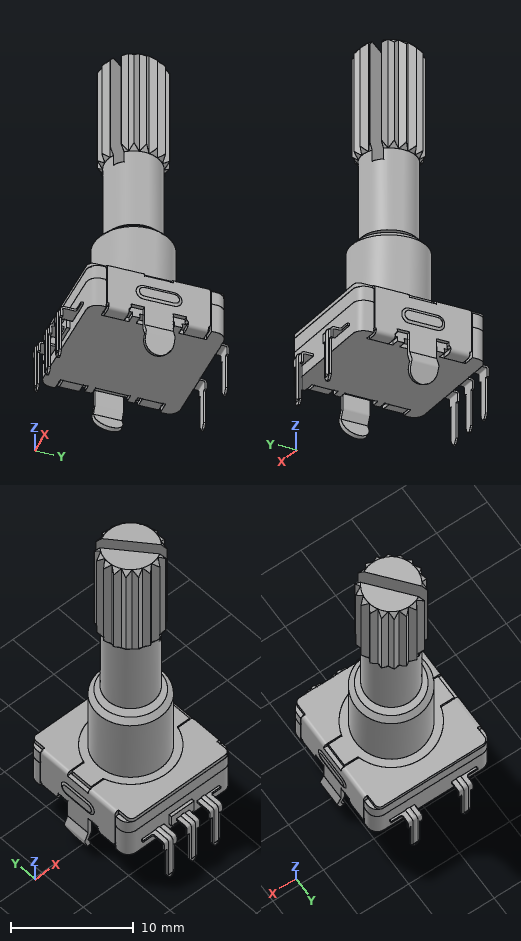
import cadquery as cq
import math

case_width = 11.68
case_depth = 12.0
case_height = 4.5
case_corner_radius = 1.0
base_height = 2.8

sheet = 0.4
cover_corner_radius = 0.5
flange_half_width = 4.5
flange_clearance = 0.1
disc_diameter = 8.5
slot_half_width = 1.25
arm_half_width = 1.15

clinch_inner = 2.57
clinch_outer = 4.35
clinch_length = 0.8
notch_outer = 2.4
notch_top = 0.9
notch_chamfer_top = 0.6
flange_chamfer = flange_half_width - clinch_outer
seat_inner = 2.18
leg_recess_half_width = 1.52

emboss_length = 4.0
emboss_height = 1.4
emboss_inset = 0.248
emboss_rise = 0.1
emboss_z = 2.38

leg_angle = 25.0
knee_half_span = 6.2
knee_z = -1.78
leg_bottom = -3.43

bushing_diameter = 7.0
bushing_height = 7.0
shaft_top = 29.5
shaft_diameter = 5.0
neck_diameter = 3.0
neck_gap = 0.5
knurl_diameter = 6.0
knurl_length = 10.0
ridge_count = 18
end_chamfer = 0.5
slot_width = 1.0
slot_depth = 11.0
slot_direction = -50.0

pin_pitch = 2.5
front_reach = 7.7
back_reach = 7.23
pin_bottom = -3.5
pin_sheet = 0.2
pin_top = 1.2
pin_bend_radius = 0.1
pin_wide = 1.4
pin_narrow = 0.85
pin_shoulder_z = 0.2
pin_tip_width = 0.3
pin_tip_height = 0.45
bead_half_width = 0.23
bead_rise = 0.1
bead_end_z = -3.15
bead_end_slope = 0.15
strip_end = 4.3
strip_projection = 0.2
strip_fillet = 0.15

pad_half_width = 1.25
pad_bottom = 0.7
pad_top = 1.88
pad_rise = 0.3

half_width = case_width / 2
half_depth = case_depth / 2
inner_half_width = half_width - sheet
ledge_z = case_height - sheet
pocket_half_width = flange_half_width + flange_clearance
bushing_top = case_height + bushing_height
overshoot = 1.65


def box(x_range, y_range, z_range):
    """Axis-aligned block between the given limits."""
    (x0, x1), (y0, y1), (z0, z1) = x_range, y_range, z_range
    return cq.Workplane("XY").box(x1 - x0, y1 - y0, z1 - z0, centered=False).translate((x0, y0, z0))


def on_both_x_sides(shape):
    return shape.union(shape.mirror("YZ"))


def on_both_y_sides(shape):
    return shape.union(shape.mirror("XZ"))


def case_block(z0, z1):
    """Rounded slab of the case with flat pockets for the cover flanges."""
    slab = (
        cq.Workplane("XY").workplane(offset=z0).rect(case_width, case_depth).extrude(z1 - z0)
        .edges("|Z").fillet(case_corner_radius)
    )
    pocket = box(
        (-half_width - overshoot, -inner_half_width),
        (-pocket_half_width, pocket_half_width),
        (z0, z1),
    )
    return slab.cut(on_both_x_sides(pocket))


def disc_and_arms(arm_half):
    """Raised centre of the housing: a disc with an arm to each flange."""
    disc = cq.Workplane("XY").workplane(offset=ledge_z).circle(disc_diameter / 2).extrude(sheet)
    arms = box((-inner_half_width, inner_half_width), (-arm_half, arm_half), (ledge_z, case_height))
    return disc.union(arms)


def make_shaft():
    knurl_bottom = shaft_top - knurl_length
    ridge_angle = 2 * math.pi / ridge_count
    outline = []
    for i in range(ridge_count):
        for radius, turn in ((knurl_diameter / 2, i), (shaft_diameter / 2, i + 0.5)):
            outline.append((radius * math.cos(turn * ridge_angle), radius * math.sin(turn * ridge_angle)))
    knurl = cq.Workplane("XY").workplane(offset=knurl_bottom).polyline(outline).close().extrude(knurl_length)
    envelope = (
        cq.Workplane("XY").workplane(offset=knurl_bottom).circle(knurl_diameter / 2).extrude(knurl_length)
        .faces("<Z or >Z").chamfer(end_chamfer)
    )
    stem_bottom = bushing_top + neck_gap
    stem = (
        cq.Workplane("XY").workplane(offset=stem_bottom).circle(shaft_diameter / 2)
        .extrude(knurl_bottom - stem_bottom)
    )
    neck = (
        cq.Workplane("XY").workplane(offset=base_height).circle(neck_diameter / 2)
        .extrude(stem_bottom - base_height)
    )
    slot_length = knurl_diameter + overshoot
    slot = (
        box(
            (-slot_length / 2, slot_length / 2),
            (-slot_width / 2, slot_width / 2),
            (shaft_top - slot_depth, shaft_top + overshoot),
        )
        .rotate((0, 0, 0), (0, 0, 1), slot_direction)
    )
    return knurl.intersect(envelope).union(stem).union(neck).cut(slot)


def make_housing():
    bushing = (
        cq.Workplane("XY").workplane(offset=ledge_z).circle(bushing_diameter / 2)
        .extrude(bushing_top - ledge_z).faces(">Z").chamfer(end_chamfer)
    )
    bore = (
        cq.Workplane("XY").workplane(offset=base_height).circle(neck_diameter / 2)
        .extrude(bushing_top - base_height)
    )
    upper_case = case_block(base_height, ledge_z)
    return upper_case.union(disc_and_arms(arm_half_width)).union(bushing).cut(bore)


def make_base():
    pad = box(
        (-pad_half_width, pad_half_width), (-half_depth - pad_rise, -half_depth), (pad_bottom, pad_top)
    )
    recess_x = (-inner_half_width, -inner_half_width + clinch_length)
    clinch_seat = on_both_y_sides(box(recess_x, (seat_inner, pocket_half_width), (0, sheet)))
    leg_recess = box(recess_x, (-leg_recess_half_width, leg_recess_half_width), (0, sheet))
    recesses = on_both_x_sides(clinch_seat.union(leg_recess))
    return case_block(0, base_height).union(pad).cut(recesses)


def make_cover_plate():
    plate = (
        cq.Workplane("XY").workplane(offset=ledge_z).rect(2 * inner_half_width, case_depth).extrude(sheet)
        .edges("|Z").fillet(cover_corner_radius)
    )
    return plate.cut(disc_and_arms(slot_half_width))


def make_flange_bend(z, y_range):
    """Quarter-round edge of the sheet, running along Y about the flange's inner corner."""
    y0, y1 = y_range
    rod = cq.Workplane("XZ", origin=(-inner_half_width, y0, z)).circle(sheet).extrude(y0 - y1)
    upper = z > case_height / 2
    z_range = (z, z + sheet) if upper else (z - sheet, z)
    return rod.intersect(box((-half_width, -inner_half_width), y_range, z_range))


def make_flange():
    half_outline = [
        (0, ledge_z),
        (flange_half_width, ledge_z),
        (flange_half_width, sheet + flange_chamfer),
        (clinch_outer, sheet),
        (clinch_inner, sheet),
        (notch_outer, notch_chamfer_top),
        (notch_outer, notch_top),
        (0, notch_top),
    ]
    half = cq.Workplane("YZ", origin=(-half_width, 0, 0)).polyline(half_outline).close().extrude(sheet)
    taper = math.degrees(math.atan2(emboss_inset, emboss_rise))
    emboss = (
        cq.Workplane("YZ", origin=(-half_width, 0, emboss_z)).slot2D(emboss_length, emboss_height)
        .extrude(-emboss_rise, taper=taper)
    )
    return on_both_y_sides(half).union(emboss)


def make_clinch_tab():
    tab = box(
        (-inner_half_width, -inner_half_width + clinch_length), (clinch_inner, clinch_outer), (0, sheet)
    )
    return tab.union(make_flange_bend(sheet, (clinch_inner, clinch_outer)))


def make_leg():
    """Leg that runs down, out to a knee and back in to a rounded tip."""
    angle = math.radians(leg_angle)
    along, across = math.sin(angle), math.cos(angle)
    knee_x = sheet - knee_half_span
    knee_out = (knee_x - sheet * across, knee_z + sheet * along)
    run_out = (-half_width - knee_out[0]) / along
    bend_z = knee_out[1] + run_out * across
    hip_in = (-half_width + sheet * across, bend_z - sheet * along)
    hip_mid = (-half_width + sheet * math.cos(angle / 2), bend_z - sheet * math.sin(angle / 2))
    knee_low = (knee_x - sheet * across, knee_z - sheet * along)
    upper = (
        cq.Workplane("XZ")
        .moveTo(-half_width, notch_top)
        .lineTo(-inner_half_width, notch_top)
        .lineTo(-inner_half_width, bend_z)
        .threePointArc(hip_mid, hip_in)
        .lineTo(knee_x, knee_z)
        .lineTo(*knee_low)
        .threePointArc((-knee_half_span, knee_z), knee_out)
        .lineTo(-half_width, bend_z)
        .close()
        .extrude(slot_half_width, both=True)
    )
    tip_length = (knee_low[1] - leg_bottom) / across
    slope = cq.Plane(origin=(knee_x, 0, knee_z), xDir=(along, 0, -across), normal=(-across, 0, -along))
    straight = tip_length - slot_half_width
    lower = (
        cq.Workplane(slope)
        .moveTo(0, -slot_half_width)
        .lineTo(straight, -slot_half_width)
        .threePointArc((tip_length, 0), (straight, slot_half_width))
        .lineTo(0, slot_half_width)
        .close()
        .extrude(sheet)
    )
    return upper.union(lower)


def make_cover():
    top_bend = make_flange_bend(ledge_z, (slot_half_width, flange_half_width))
    side = make_flange().union(on_both_y_sides(top_bend.union(make_clinch_tab()))).union(make_leg())
    return make_cover_plate().union(on_both_x_sides(side))


def make_terminal(x, reach, root, strip_side):
    """Pin toward -Y from y = -root; strip_side is -1 or +1 for a side strip, 0 for none."""
    face = reach - bead_rise
    outer_radius = pin_bend_radius + pin_sheet
    bend_y = -face + outer_radius
    bend_z = pin_top - outer_radius
    diagonal = math.sqrt(0.5)

    def bend_point(radius):
        return (bend_y - radius * diagonal, bend_z + radius * diagonal)

    strip = (
        cq.Workplane("YZ")
        .moveTo(-root, pin_top)
        .lineTo(bend_y, pin_top)
        .threePointArc(bend_point(outer_radius), (-face, bend_z))
        .lineTo(-face, pin_bottom)
        .lineTo(-face + pin_sheet, pin_bottom)
        .lineTo(-face + pin_sheet, bend_z)
        .threePointArc(bend_point(pin_bend_radius), (bend_y, bend_z + pin_bend_radius))
        .lineTo(-root, pin_top - pin_sheet)
        .close()
        .extrude(pin_wide / 2, both=True)
    )
    right_edge = [
        (pin_wide / 2, pin_top),
        (pin_wide / 2, pin_shoulder_z),
        (pin_narrow / 2, pin_shoulder_z),
        (pin_narrow / 2, pin_bottom + pin_tip_height),
        (pin_tip_width / 2, pin_bottom),
    ]
    left_edge = [(-px, pz) for px, pz in reversed(right_edge)]
    outline = cq.Workplane("XZ").polyline(right_edge + left_edge).close().extrude(reach + overshoot)
    pin = strip.intersect(outline)

    path = (
        cq.Workplane("YZ")
        .moveTo(-root, pin_top)
        .lineTo(bend_y, pin_top)
        .threePointArc(bend_point(outer_radius), (-face, bend_z))
        .lineTo(-face, bead_end_z)
    )
    bead = (
        cq.Workplane("XZ", origin=(0, -root, pin_top))
        .moveTo(-bead_half_width, -pin_sheet / 2)
        .lineTo(-bead_half_width, 0)
        .threePointArc((0, bead_rise), (bead_half_width, 0))
        .lineTo(bead_half_width, -pin_sheet / 2)
        .close()
        .sweep(path)
    )
    bead_end = (
        cq.Workplane("YZ")
        .polyline([(-face, bead_end_z), (-reach, bead_end_z + bead_end_slope), (-reach, bead_end_z)])
        .close()
        .extrude(bead_half_width, both=True)
    )
    pin = pin.union(bead.cut(bead_end))

    if strip_side:
        edge = pin_wide / 2
        side_strip = (
            cq.Workplane("XY", origin=(0, 0, pin_top - pin_sheet))
            .moveTo(0, -root)
            .lineTo(strip_end - pin_pitch, -root)
            .lineTo(strip_end - pin_pitch, -root - strip_projection)
            .lineTo(edge + strip_fillet, -root - strip_projection)
            .radiusArc((edge, -root - strip_projection - strip_fillet), -strip_fillet)
            .lineTo(0, -root - strip_projection - strip_fillet)
            .close()
            .extrude(pin_sheet)
        )
        if strip_side < 0:
            side_strip = side_strip.mirror("YZ")
        pin = pin.union(side_strip)
    return pin.translate((x, 0, 0))


shaft = make_shaft()
housing = make_housing()
base = make_base()
cover = make_cover()

terminals = [make_terminal(0, front_reach, half_depth + pad_rise, 0)]
for side in (-1, 1):
    terminals.append(make_terminal(side * pin_pitch, front_reach, half_depth, side))
    terminals.append(make_terminal(side * pin_pitch, back_reach, half_depth, side).mirror("XZ"))

result = cq.Compound.makeCompound(
    [shaft.val(), housing.val(), base.val(), cover.val(), *[terminal.val() for terminal in terminals]]
)